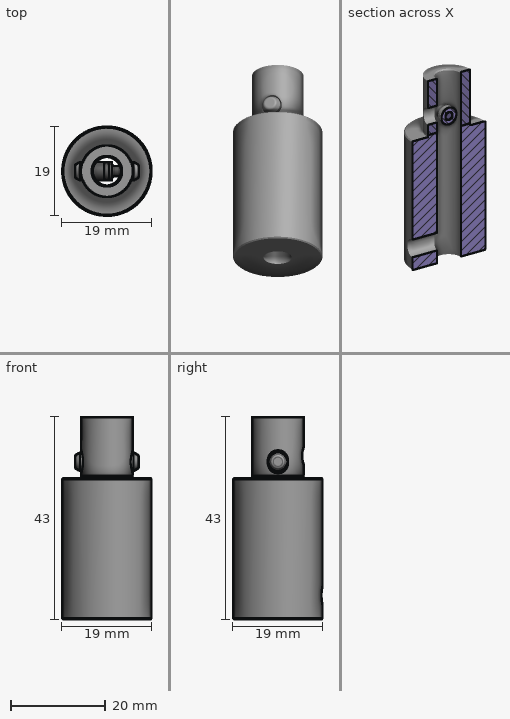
import cadquery as cq
import math

HEIGHT = 43.0
BARREL_RADIUS = 9.5
BARREL_TOP = 30.0
EDGE_CHAMFER = 0.25
COLLAR_HEIGHT = 0.47
FLARE_HEIGHT = 0.35
STEM_BOTTOM = BARREL_TOP + COLLAR_HEIGHT

STEM_RADIUS = 5.5
GROOVE_DEPTH = 0.065
STEM_TAPER_HEIGHT = 0.25
COLLAR_TOP_RADIUS = STEM_RADIUS - GROOVE_DEPTH
FLARE_SAG = GROOVE_DEPTH / 4

BORE_RADIUS = 3.0
BORE_CHAMFER = 0.25

SCREW_HOLE_DIAMETER = 4.0
SCREW_HOLE_RADIUS = SCREW_HOLE_DIAMETER / 2
SCREW_HOLE_Z = 5.07
SIDE_HOLE_RADIUS = 1.9
SIDE_HOLE_Z = 34.75

PIN_Z = 33.5
PIN_DIAMETER = 4.0
PIN_RADIUS = PIN_DIAMETER / 2
PIN_HALF_LENGTH = 6.8
TIP_LENGTH = 1.1
TIP_SLOPE = math.radians(30)
TIP_ROUND = 0.65

WAIST_RADIUS = 1.1
WAIST_START = 1.1
WAIST_WIDTH = 1.85
WAIST_FILLET = 0.4

MOUTH_RADIUS = 2.45
MOUTH_SLOPE = math.radians(30)

RING_WIRE_RADIUS = 0.5
RING_X = -0.065
RING_CENTER_RADIUS = PIN_RADIUS - RING_WIRE_RADIUS


def bore_cutter():
    return cq.Workplane("XY").circle(BORE_RADIUS).extrude(HEIGHT)


def hole_toward_plus_y(radius, z):
    """Cutter from the bore axis out through the +Y wall."""
    return cq.Workplane("XZ", origin=(0, 0, z)).circle(radius).extrude(-BARREL_RADIUS)


def cylinder_along_x(radius, start, length):
    """Solid cylinder on the pin axis."""
    return cq.Workplane("YZ", origin=(start, 0, PIN_Z)).circle(radius).extrude(length)


def annular_cutter(core_radius, start, length):
    """Cutter that turns the pin down to core_radius over a stretch of X."""
    sleeve = cylinder_along_x(2 * PIN_RADIUS, start, length)
    return sleeve.cut(cylinder_along_x(core_radius, start, length))


def cone_about(base, direction, base_radius, end_radius, length):
    """Truncated cone starting at the point base."""
    cone = cq.Solid.makeCone(base_radius, end_radius, length, cq.Vector(*base), cq.Vector(*direction))
    return cq.Workplane(obj=cone)


def make_housing():
    barrel = cq.Workplane("XY").circle(BARREL_RADIUS).extrude(BARREL_TOP).edges().chamfer(EDGE_CHAMFER)
    collar = (
        cq.Workplane("XZ", origin=(0, 0, BARREL_TOP))
        .lineTo(0, COLLAR_HEIGHT)
        .lineTo(COLLAR_TOP_RADIUS, COLLAR_HEIGHT)
        .lineTo(COLLAR_TOP_RADIUS, FLARE_HEIGHT)
        .sagittaArc((STEM_RADIUS, 0), FLARE_SAG)
        .close()
        .revolve(360, (0, 0), (0, 1))
    )
    screw_hole = hole_toward_plus_y(SCREW_HOLE_RADIUS, SCREW_HOLE_Z)
    return barrel.union(collar).cut(bore_cutter()).cut(screw_hole)


def make_stem():
    taper = cone_about((0, 0, STEM_BOTTOM), (0, 0, 1), COLLAR_TOP_RADIUS, STEM_RADIUS, STEM_TAPER_HEIGHT)
    taper_top = STEM_BOTTOM + STEM_TAPER_HEIGHT
    shaft = cq.Workplane("XY", origin=(0, 0, taper_top)).circle(STEM_RADIUS).extrude(HEIGHT - taper_top)
    bore_edge = cone_about(
        (0, 0, HEIGHT), (0, 0, -1), BORE_RADIUS + BORE_CHAMFER, BORE_RADIUS, BORE_CHAMFER
    )
    stem = taper.union(shaft).cut(bore_cutter()).cut(bore_edge)

    stem = stem.cut(cylinder_along_x(PIN_RADIUS, -STEM_RADIUS, 2 * STEM_RADIUS))
    mouth_depth = (MOUTH_RADIUS - PIN_RADIUS) / math.tan(MOUTH_SLOPE)
    for side in (-1, 1):
        mouth = cone_about(
            (side * STEM_RADIUS, 0, PIN_Z), (-side, 0, 0), MOUTH_RADIUS, PIN_RADIUS, mouth_depth
        )
        stem = stem.cut(mouth)
    return stem.cut(hole_toward_plus_y(SIDE_HOLE_RADIUS, SIDE_HOLE_Z))


def make_ring():
    return (
        cq.Workplane("XZ", origin=(RING_X, 0, PIN_Z))
        .center(0, RING_CENTER_RADIUS)
        .circle(RING_WIRE_RADIUS)
        .revolve(360, (0, -RING_CENTER_RADIUS), (1, -RING_CENTER_RADIUS))
    )


def make_pin():
    shank_half = PIN_HALF_LENGTH - TIP_LENGTH
    pin = cylinder_along_x(PIN_RADIUS, -shank_half, 2 * shank_half)
    tip_radius = PIN_RADIUS - TIP_LENGTH * math.tan(TIP_SLOPE)
    for side in (-1, 1):
        tip = cone_about((side * shank_half, 0, PIN_Z), (side, 0, 0), PIN_RADIUS, tip_radius, TIP_LENGTH)
        pin = pin.union(tip)
    pin = pin.faces("<X or >X").edges().fillet(TIP_ROUND)

    waist = annular_cutter(WAIST_RADIUS, WAIST_START, WAIST_WIDTH)
    waist = waist.edges(cq.selectors.RadiusNthSelector(0)).fillet(WAIST_FILLET)

    groove_floor = RING_CENTER_RADIUS - RING_WIRE_RADIUS
    groove = annular_cutter(groove_floor, RING_X - RING_WIRE_RADIUS, 2 * RING_WIRE_RADIUS)
    return pin.cut(waist).cut(groove)


housing = make_housing()
stem = make_stem()
pin = make_pin()
ring = make_ring()

result = cq.Compound.makeCompound([body.solids().val() for body in (housing, stem, pin, ring)])